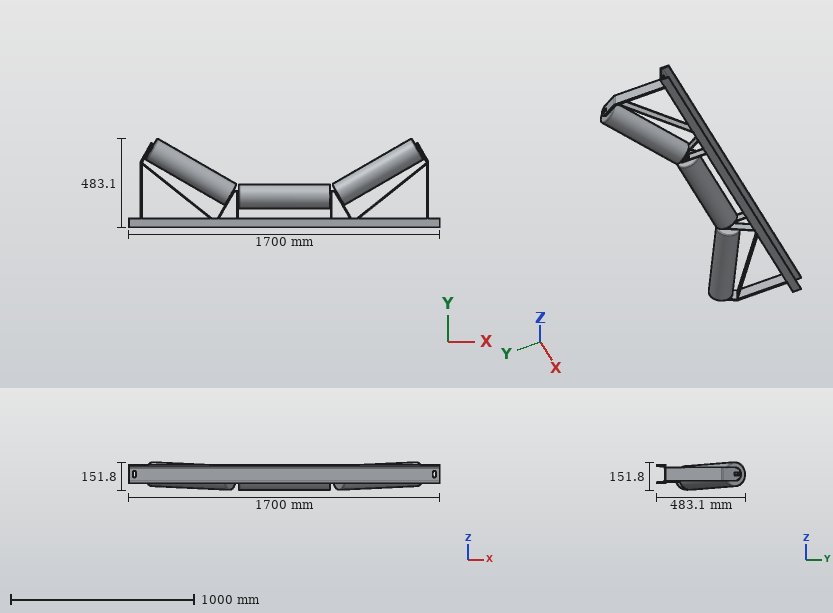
import cadquery as cq
import math


BEAM_LENGTH = 1700.0
BEAM_HEIGHT = 100.0
BEAM_DEPTH = 50.0
WEB_THICKNESS = 6.0
FLANGE_TIP_THICKNESS = 7.0
FLANGE_ROOT_THICKNESS = 10.0
ROOT_FILLET = 8.0
TIP_FILLET = 4.2
BOLT_SLOT_INSET = 30.0
BOLT_SLOT_LENGTH = 35.0
BOLT_SLOT_WIDTH = 15.0

ROLLER_RADIUS = 66.0
ROLLER_LENGTH = 500.0
ROLLER_EDGE_FILLET = 5.0
SHAFT_RADIUS = 14.0
SHAFT_FLATS_WIDTH = 17.0
FLAT_ROLLER_Y = 168.0
FLAT_ROLLER_Z = -20.0
WING_ANGLE = 30.0
WING_INNER_X = -294.0
WING_INNER_Y = 178.0
WING_OUTER_Z = 0.0

INNER_THICKNESS = 6.0
INNER_WIDTH = 50.0
INNER_TOP_Y = 200.0
INNER_GAP = 3.0

OUTER_FACE_X = -787.0
OUTER_THICKNESS = 10.0
OUTER_WIDTH = 75.0
OUTER_GAP = 7.0
OUTER_BEND_RADIUS = 10.0
TAB_REACH = 29.0

BRACE_THICKNESS = 5.0
BRACE_WIDTH = 50.0
BRACE_FOOT_X = -398.0

WING_COS = math.cos(math.radians(WING_ANGLE))
WING_SIN = math.sin(math.radians(WING_ANGLE))
WING_TAN = math.tan(math.radians(WING_ANGLE))
HALF_BEND_TAN = math.tan(math.radians(WING_ANGLE / 2))
WING_RISE = WING_OUTER_Z - FLAT_ROLLER_Z
WING_TILT = math.degrees(math.asin(WING_RISE / ROLLER_LENGTH))
WING_RUN = math.sqrt(ROLLER_LENGTH**2 - WING_RISE**2)
WING_OUTER_X = WING_INNER_X - WING_RUN * WING_COS
WING_OUTER_Y = WING_INNER_Y + WING_RUN * WING_SIN
WING_CENTER = (
    (WING_INNER_X + WING_OUTER_X) / 2,
    (WING_INNER_Y + WING_OUTER_Y) / 2,
    (FLAT_ROLLER_Z + WING_OUTER_Z) / 2,
)
INNER_TAIL = INNER_GAP + INNER_THICKNESS
OUTER_TAIL = OUTER_GAP + OUTER_THICKNESS

TAB_FACE_X = WING_OUTER_X - OUTER_TAIL * WING_COS
TAB_FACE_Y = WING_OUTER_Y + OUTER_TAIL * WING_SIN
BEND_Y = TAB_FACE_Y - (TAB_FACE_X - OUTER_FACE_X) / WING_TAN
TAB_LENGTH = (TAB_FACE_Y - BEND_Y) / WING_COS + TAB_REACH


def mirrored(body):
    return body.mirror("YZ")


def place_on_wing(body):
    """Move a body from the X axis onto the axis of the -X wing roller."""
    tilted = body.rotate((0, 0, 0), (0, 1, 0), WING_TILT)
    turned = tilted.rotate((0, 0, 0), (0, 0, 1), -WING_ANGLE)
    return turned.translate(WING_CENTER)


def place_on_flat(body):
    return body.translate((0, FLAT_ROLLER_Y, FLAT_ROLLER_Z))


def make_beam():
    """Channel with tapered flanges pointing toward -Y and a bolt slot near each end."""
    half = BEAM_HEIGHT / 2
    inner_web_y = BEAM_DEPTH - WEB_THICKNESS
    beam = (
        cq.Workplane("YZ", origin=(-BEAM_LENGTH / 2, 0, 0))
        .polyline([
            (0, half),
            (BEAM_DEPTH, half),
            (BEAM_DEPTH, -half),
            (0, -half),
            (0, FLANGE_TIP_THICKNESS - half),
            (inner_web_y, FLANGE_ROOT_THICKNESS - half),
            (inner_web_y, half - FLANGE_ROOT_THICKNESS),
            (0, half - FLANGE_TIP_THICKNESS),
        ])
        .close()
        .extrude(BEAM_LENGTH)
    )
    for z_side in (1, -1):
        root = (0, inner_web_y, z_side * (half - FLANGE_ROOT_THICKNESS))
        tip = (0, 0, z_side * (half - FLANGE_TIP_THICKNESS))
        beam = beam.edges(cq.NearestToPointSelector(root)).fillet(ROOT_FILLET)
        beam = beam.edges(cq.NearestToPointSelector(tip)).fillet(TIP_FILLET)
    slot_x = BEAM_LENGTH / 2 - BOLT_SLOT_INSET
    bolt_slots = (
        cq.Workplane("XZ")
        .pushPoints([(-slot_x, 0), (slot_x, 0)])
        .slot2D(BOLT_SLOT_LENGTH, BOLT_SLOT_WIDTH, 90)
        .extrude(-BEAM_DEPTH)
    )
    return beam.cut(bolt_slots)


def make_shaft(left_tail, right_tail):
    """Round bar with two flats facing +Z and -Z."""
    start = -ROLLER_LENGTH / 2 - left_tail
    length = ROLLER_LENGTH + left_tail + right_tail
    bar = cq.Workplane("YZ", origin=(start, 0, 0)).circle(SHAFT_RADIUS).extrude(length)
    flats = (
        cq.Workplane("YZ", origin=(start, 0, 0))
        .rect(2 * SHAFT_RADIUS, SHAFT_FLATS_WIDTH)
        .extrude(length)
    )
    return bar.intersect(flats)


def make_roller(left_tail, right_tail):
    left_end = (-ROLLER_LENGTH / 2, 0, 0)
    shell = cq.Workplane("YZ", origin=left_end).circle(ROLLER_RADIUS).extrude(ROLLER_LENGTH)
    shell = shell.edges().fillet(ROLLER_EDGE_FILLET)
    return shell.union(make_shaft(left_tail, right_tail))


def make_shaft_slot(left_tail, right_tail):
    """Space swept by a shaft that is lifted out along +Y."""
    opening = 2 * ROLLER_RADIUS
    shaft = make_shaft(left_tail, right_tail)
    mouth = (
        cq.Workplane("XY")
        .box(
            ROLLER_LENGTH + left_tail + right_tail,
            opening,
            SHAFT_FLATS_WIDTH,
            centered=(True, False, True),
        )
        .translate(((right_tail - left_tail) / 2, 0, 0))
    )
    return shaft.union(mouth)


def make_inner_bracket():
    """Bent plate with one leg facing the flat roller and one facing the wing roller."""
    upright_x = -ROLLER_LENGTH / 2 - INNER_GAP
    slope_x = WING_INNER_X + INNER_GAP * WING_COS
    slope_y = WING_INNER_Y - INNER_GAP * WING_SIN
    ceiling_y = INNER_TOP_Y - INNER_THICKNESS
    inner_upright_x = upright_x - INNER_THICKNESS

    def slope_at(y, inset):
        return slope_x + (y - slope_y) * WING_TAN + inset / WING_COS

    bracket = (
        cq.Workplane("XY", origin=(0, 0, FLAT_ROLLER_Z - INNER_WIDTH / 2))
        .polyline([
            (slope_at(BEAM_DEPTH, 0), BEAM_DEPTH),
            (slope_at(INNER_TOP_Y, 0), INNER_TOP_Y),
            (upright_x, INNER_TOP_Y),
            (upright_x, BEAM_DEPTH),
            (inner_upright_x, BEAM_DEPTH),
            (inner_upright_x, ceiling_y),
            (slope_at(ceiling_y, INNER_THICKNESS), ceiling_y),
            (slope_at(BEAM_DEPTH, INNER_THICKNESS), BEAM_DEPTH),
        ])
        .close()
        .extrude(INNER_WIDTH)
    )
    bracket = bracket.cut(place_on_flat(make_shaft_slot(INNER_TAIL, INNER_TAIL)))
    return bracket.cut(place_on_wing(make_shaft_slot(OUTER_TAIL, INNER_TAIL)))


def make_outer_bracket():
    """Upright plate bent toward the wing roller, with a round end slotted for the shaft."""
    tip = (OUTER_FACE_X + TAB_LENGTH * WING_SIN, BEND_Y + TAB_LENGTH * WING_COS)
    inner_face_x = OUTER_FACE_X + OUTER_THICKNESS
    inner_bend_y = BEND_Y - OUTER_THICKNESS * HALF_BEND_TAN
    bracket = (
        cq.Workplane("XY", origin=(0, 0, -OUTER_WIDTH / 2))
        .polyline([
            (OUTER_FACE_X, BEAM_DEPTH),
            (OUTER_FACE_X, BEND_Y),
            tip,
            (tip[0] + OUTER_THICKNESS * WING_COS, tip[1] - OUTER_THICKNESS * WING_SIN),
            (inner_face_x, inner_bend_y),
            (inner_face_x, BEAM_DEPTH),
        ])
        .close()
        .extrude(OUTER_WIDTH)
    )
    outer_bend = (OUTER_FACE_X, BEND_Y, 0)
    inner_bend = (inner_face_x, inner_bend_y, 0)
    bracket = bracket.edges(cq.NearestToPointSelector(outer_bend)).fillet(OUTER_BEND_RADIUS + OUTER_THICKNESS)
    bracket = bracket.edges(cq.NearestToPointSelector(inner_bend)).fillet(OUTER_BEND_RADIUS)

    end_radius = OUTER_WIDTH / 2
    tab_plane = cq.Plane(origin=(*tip, 0), xDir=(WING_SIN, WING_COS, 0), normal=(WING_COS, -WING_SIN, 0))
    round_end = cq.Workplane(tab_plane).center(-end_radius, 0).circle(end_radius).extrude(OUTER_THICKNESS)
    square_end = (
        cq.Workplane(tab_plane)
        .center(-end_radius / 2, 0)
        .rect(end_radius, OUTER_WIDTH)
        .extrude(OUTER_THICKNESS)
    )
    bracket = bracket.cut(square_end.cut(round_end))
    return bracket.cut(place_on_wing(make_shaft_slot(OUTER_TAIL, INNER_TAIL)))


def make_brace():
    """Flat strip from the beam up to the bend of the outer bracket."""
    top_x = OUTER_FACE_X + OUTER_THICKNESS
    top_y = BEND_Y - (OUTER_BEND_RADIUS + OUTER_THICKNESS) * HALF_BEND_TAN
    run = BRACE_FOOT_X - top_x
    drop = top_y - BEAM_DEPTH
    length = math.hypot(run, drop)
    return (
        cq.Workplane("XY", origin=(0, 0, -BRACE_WIDTH / 2))
        .polyline([
            (top_x, top_y),
            (BRACE_FOOT_X, BEAM_DEPTH),
            (BRACE_FOOT_X - BRACE_THICKNESS * length / drop, BEAM_DEPTH),
            (top_x, top_y - BRACE_THICKNESS * length / run),
        ])
        .close()
        .extrude(BRACE_WIDTH)
    )


beam = make_beam()
flat_roller = place_on_flat(make_roller(INNER_TAIL, INNER_TAIL))
wing_roller = place_on_wing(make_roller(OUTER_TAIL, INNER_TAIL))
inner_bracket = make_inner_bracket()
outer_bracket = make_outer_bracket()
brace = make_brace()

bodies = [beam.val(), flat_roller.val()]
for body in (wing_roller, inner_bracket, outer_bracket, brace):
    bodies.append(body.val())
    bodies.append(mirrored(body).val())

result = cq.Compound.makeCompound(bodies)